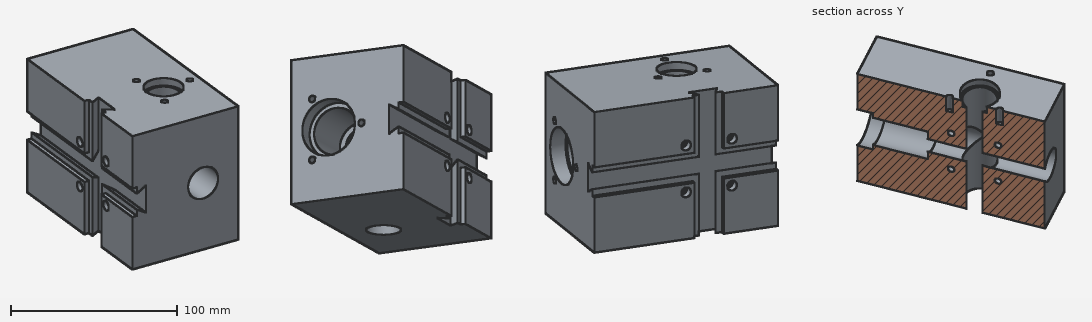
import cadquery as cq

LENGTH = 120.0
DEPTH = 75.0
HEIGHT = 90.0

CROSS_X = 75.0
CROSS_Y = DEPTH * 2 / 3

GROOVE_WIDTH = 19.2
GROOVE_STEP_DEPTH = 3.1
GROOVE_DEPTH = 9.6
DOVETAIL_NECK = 10.8
DOVETAIL_FLOOR = 18.2

BORE_DIAMETER = 21.1
TOP_SEAT_DIAMETER = 24.1
TOP_SEAT_DEPTH = 5.0
SIDE_BORE_DIAMETER = 29.2
SIDE_BORE_DEPTH = 45.0
SIDE_SEAT_DIAMETER = 35.2
SIDE_SEAT_DEPTH = 10.0

SCREW_COUNT = 3
SCREW_DIAMETER = 4.1
SCREW_DEPTH = 12.0
TOP_SCREW_RADIUS = 18.5
SIDE_SCREW_RADIUS = 22.0

MOUNT_SPACING = 30.0
MOUNT_DIAMETER = 4.0
MOUNT_SEAT_DIAMETER = 6.1
MOUNT_SEAT_DEPTH = 6.0

TOP_FACE = cq.Plane(origin=(CROSS_X, CROSS_Y, HEIGHT / 2), xDir=(1, 0, 0), normal=(0, 0, 1))
SIDE_FACE = cq.Plane(origin=(0, CROSS_Y, 0), xDir=(0, -1, 0), normal=(-1, 0, 0))
FRONT_FACE = cq.Plane(origin=(CROSS_X, 0, 0), xDir=(1, 0, 0), normal=(0, -1, 0))


def drill(face, diameter, depth):
    """Cylinder going into the part from a face plane, on its origin."""
    return cq.Workplane(face).circle(diameter / 2).extrude(-depth)


def screw_circle(face, radius, start_angle):
    """Evenly spaced blind screw holes around the origin of a face plane."""
    return (
        cq.Workplane(face)
        .polarArray(radius, start_angle, 360, SCREW_COUNT)
        .circle(SCREW_DIAMETER / 2)
        .extrude(-SCREW_DEPTH)
    )


def groove(end_plane, length):
    """Stepped dovetail; local X runs across the groove, local Y into the part."""
    half_profile = [
        (GROOVE_WIDTH / 2, 0),
        (GROOVE_WIDTH / 2, GROOVE_STEP_DEPTH),
        (DOVETAIL_NECK / 2, GROOVE_STEP_DEPTH),
        (DOVETAIL_FLOOR / 2, GROOVE_DEPTH),
    ]
    mirrored = [(-x, y) for x, y in reversed(half_profile)]
    return cq.Workplane(end_plane).polyline(half_profile + mirrored).close().extrude(length)


def mount_holes(diameter, depth):
    """Square pattern of holes into the front face."""
    return (
        cq.Workplane(FRONT_FACE)
        .rarray(MOUNT_SPACING, MOUNT_SPACING, 2, 2)
        .circle(diameter / 2)
        .extrude(-depth)
    )


result = cq.Workplane("XY").box(LENGTH, DEPTH, HEIGHT, centered=(False, False, True))

bottom_end = cq.Plane(origin=(CROSS_X, 0, -HEIGHT / 2), xDir=(1, 0, 0), normal=(0, 0, 1))
left_end = cq.Plane(origin=(0, 0, 0), xDir=(0, 0, -1), normal=(1, 0, 0))
result = result.cut(groove(bottom_end, HEIGHT))
result = result.cut(groove(left_end, LENGTH))

result = result.cut(drill(TOP_FACE, BORE_DIAMETER, HEIGHT))
result = result.cut(drill(TOP_FACE, TOP_SEAT_DIAMETER, TOP_SEAT_DEPTH))
result = result.cut(screw_circle(TOP_FACE, TOP_SCREW_RADIUS, 90))

result = result.cut(drill(SIDE_FACE, BORE_DIAMETER, LENGTH))
result = result.cut(drill(SIDE_FACE, SIDE_BORE_DIAMETER, SIDE_BORE_DEPTH))
result = result.cut(drill(SIDE_FACE, SIDE_SEAT_DIAMETER, SIDE_SEAT_DEPTH))
result = result.cut(screw_circle(SIDE_FACE, SIDE_SCREW_RADIUS, 0))

result = result.cut(mount_holes(MOUNT_DIAMETER, DEPTH))
result = result.cut(mount_holes(MOUNT_SEAT_DIAMETER, MOUNT_SEAT_DEPTH))